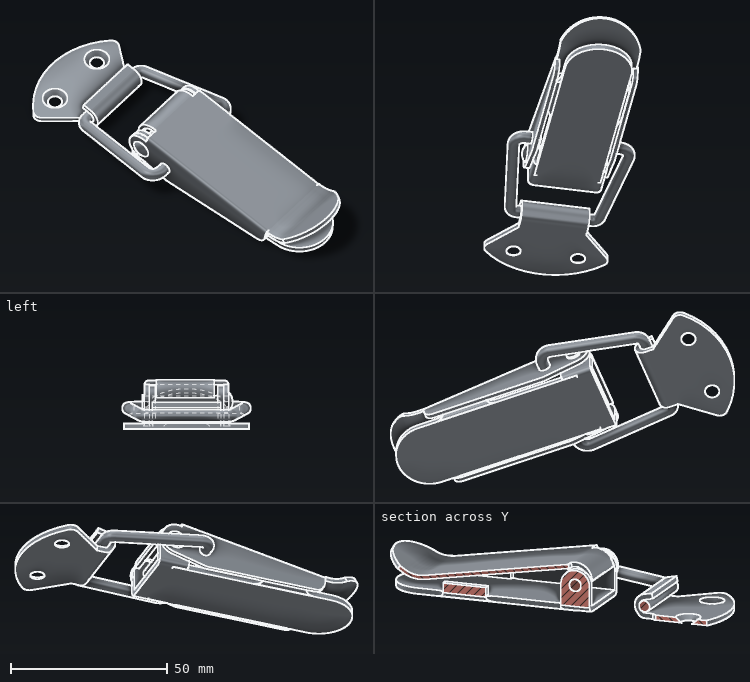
import cadquery as cq
import math


BASE_SHEET = 2.0
STRIKER_SHEET = 1.8
LEVER_SHEET = 1.5
PIN_Z = 8.8
PIN_DIAMETER = 3.8
WIRE_DIAMETER = 3.8
OVERALL_LENGTH = 115.02
OVERALL_HEIGHT = 15.8
STRIKER_LEFT = -48.1

BASE_WIDTH = 24.0
WALL_HALF_LENGTH = 5.0
STRIP_WIDTH = 21.5
STRIP_END_CENTER_X = 54.7
ROOT_START_X = 28.0
ROOT_END_X = 48.1
ROOT_RADIUS = 3.5
FLANGE_HEIGHT = 5.0

LEVER_WIDTH = BASE_WIDTH + 2 * LEVER_SHEET
LEVER_TILT = math.radians(10)
LEVER_END_X = 51.9
LEVER_BOTTOM_Z = 1.05
CHEEK_RADIUS = 5.2
CHEEK_CENTER_X = 0.3
CHEEK_RISE = math.radians(15)
CHEEK_CORNER_RADIUS = 3.0
CURL_RADIUS = 5.75
CURL_CENTER_X = 0.8
CURL_Y_MIN = -8.85
CURL_Y_MAX = 9.65
NOTCH_OFFSET = 0.5
TAB_ANGLE = math.radians(32)
TAB_BEND_RADIUS = 9.2
TAB_WIDTH = 26.0

HEAD_DIAMETER = 6.0
HEAD_HEIGHT = 1.3
PEEN_DIAMETER = 4.5
PEEN_HEIGHT = 0.6

STRIKER_EDGE_RADIUS = 27.0
STRIKER_CORNER_X = -38.2
NECK_X = -26.35
NECK_WIDTH = 22.0
STRIKER_TIP_RADIUS = 2.6
SCREW_X = -38.3
SCREW_SPACING = 21.0
SCREW_DIAMETER = 4.5
SINK_DIAMETER = 8.0
SINK_ANGLE = 90
HOOK_X = -23.88
HOOK_Z = 4.18
HOOK_BORE = 4.1
HOOK_RAMP = math.radians(55)
HOOK_RAMP_BEND_RADIUS = 2.6
HOOK_LIP_RISE = math.radians(12)
HOOK_LIP_LENGTH = 2.9

BAIL_BAR_X = -23.75
BAIL_BAR_Z = 4.25
BAIL_END_X = 9.95
BAIL_END_Z = 6.95
BAIL_BAR_HALF = 12.3
BAIL_BAR_BEND = 2.25
BAIL_END_BEND = 3.35
BAIL_END_SEAM_Y = 15.4


def polar(center, radius, angle):
    """Point at a radius and angle (radians, from +X) around a center."""
    return (center[0] + radius * math.cos(angle), center[1] + radius * math.sin(angle))


def moved(point, direction, distance):
    """Point shifted along a unit direction."""
    return (point[0] + direction[0] * distance, point[1] + direction[1] * distance)


def across(outline, y_min, y_max):
    """Extrude a closed XZ outline from y_min to y_max."""
    return outline.extrude(-(y_max - y_min)).translate((0, y_min, 0))


def profile(start):
    return cq.Workplane("XZ").moveTo(*start)


def rod(diameter, x, z, y_min, y_max):
    return across(profile((x, z)).circle(diameter / 2), y_min, y_max)


def folded_channel(x_min, x_max, height):
    """U-shaped length of sheet with its lower outside corners rounded."""
    length = x_max - x_min
    block = cq.Workplane("XY").box(length, BASE_WIDTH, height, centered=False)
    channel = block.translate((x_min, -BASE_WIDTH / 2, 0)).edges("|X and <Z").fillet(BASE_SHEET)
    inside_width = BASE_WIDTH - 2 * BASE_SHEET
    inside = (
        cq.Workplane("XY")
        .box(length, inside_width, height, centered=False)
        .translate((x_min, -inside_width / 2, BASE_SHEET))
    )
    return channel.cut(inside)


def make_flanges():
    """Second pair of upturned sides, blended into the strip by concave corners."""
    floor = cq.Workplane("XY").rect(2 * OVERALL_LENGTH, BASE_WIDTH).extrude(BASE_SHEET)
    roots = folded_channel(ROOT_START_X, ROOT_END_X, FLANGE_HEIGHT).intersect(floor)
    root_y = STRIP_WIDTH / 2 + ROOT_RADIUS
    corners = [(x, y) for x in (ROOT_START_X, ROOT_END_X) for y in (-root_y, root_y)]
    scoops = cq.Workplane("XY").pushPoints(corners).circle(ROOT_RADIUS).extrude(BASE_SHEET)
    root_length = math.sqrt(ROOT_RADIUS**2 - (root_y - BASE_WIDTH / 2) ** 2)
    flanges = folded_channel(ROOT_START_X + root_length, ROOT_END_X - root_length, FLANGE_HEIGHT)
    return flanges.union(roots.cut(scoops))


def make_base():
    wall_top = PIN_Z + WALL_HALF_LENGTH
    walls = folded_channel(-WALL_HALF_LENGTH, WALL_HALF_LENGTH, wall_top)
    wall_shape = across(
        profile((-WALL_HALF_LENGTH, 0))
        .lineTo(-WALL_HALF_LENGTH, PIN_Z)
        .threePointArc((0, wall_top), (WALL_HALF_LENGTH, PIN_Z))
        .lineTo(WALL_HALF_LENGTH, 0)
        .close(),
        -BASE_WIDTH / 2,
        BASE_WIDTH / 2,
    )
    walls = walls.intersect(wall_shape)

    half = STRIP_WIDTH / 2
    strip = (
        cq.Workplane("XY")
        .moveTo(0, -half)
        .lineTo(STRIP_END_CENTER_X, -half)
        .threePointArc((STRIP_END_CENTER_X + half, 0), (STRIP_END_CENTER_X, half))
        .lineTo(0, half)
        .close()
        .extrude(BASE_SHEET)
    )
    pin_hole = rod(PIN_DIAMETER, 0, PIN_Z, -BASE_WIDTH, BASE_WIDTH)
    return walls.union(strip).union(make_flanges()).cut(pin_hole)


along = (math.cos(LEVER_TILT), -math.sin(LEVER_TILT))
normal = (math.sin(LEVER_TILT), math.cos(LEVER_TILT))
curl_center = (CURL_CENTER_X, OVERALL_HEIGHT - CURL_RADIUS)
curl_start = moved(curl_center, normal, CURL_RADIUS)
top_length = (LEVER_END_X - curl_start[0]) / along[0]
top_end = moved(curl_start, along, top_length)
under_end = moved(top_end, normal, -LEVER_SHEET)


def make_cover():
    """Sloping top and both cheeks, open below and at both ends."""
    drop = CURL_RADIUS - LEVER_SHEET - CHEEK_RADIUS
    cheek_z = curl_center[1] + (drop - (CHEEK_CENTER_X - CURL_CENTER_X) * normal[0]) / normal[1]
    cheek_center = (CHEEK_CENTER_X, cheek_z)
    low_tangent = polar(cheek_center, CHEEK_RADIUS, -math.pi / 2 - CHEEK_RISE)
    high_tangent = moved(cheek_center, normal, CHEEK_RADIUS)
    ramp_end_x = low_tangent[0] + (low_tangent[1] - LEVER_BOTTOM_Z) / math.tan(CHEEK_RISE)
    corner = moved(under_end, normal, -(under_end[1] - LEVER_BOTTOM_Z) / normal[1])
    half = LEVER_WIDTH / 2

    cheeks = across(
        profile(low_tangent)
        .threePointArc(polar(cheek_center, CHEEK_RADIUS, math.pi), high_tangent)
        .lineTo(*under_end)
        .lineTo(*corner)
        .lineTo(ramp_end_x, LEVER_BOTTOM_Z)
        .close(),
        -half,
        half,
    )
    corner_edge = cq.selectors.NearestToPointSelector((corner[0], 0, corner[1]))
    cheeks = cheeks.edges("|Y").edges(corner_edge).fillet(CHEEK_CORNER_RADIUS)

    notch_top = moved(curl_start, along, NOTCH_OFFSET)
    notch_under = moved(notch_top, normal, -LEVER_SHEET)
    top_outline = profile(notch_top).lineTo(*top_end).lineTo(*under_end).lineTo(*notch_under).close()
    top = across(top_outline, -half, half)
    top_middle = moved(notch_top, along, (top_length - NOTCH_OFFSET) / 2)
    cover = cheeks.union(top)
    for side in (-1, 1):
        rim = cq.selectors.NearestToPointSelector((top_middle[0], side * half, top_middle[1]))
        cover = cover.edges(rim).fillet(LEVER_SHEET)

    reach = OVERALL_LENGTH
    inside = across(
        profile(moved(under_end, along, -reach))
        .lineTo(*moved(under_end, along, reach))
        .lineTo(reach, -reach)
        .lineTo(-reach, -reach)
        .close(),
        -BASE_WIDTH / 2,
        BASE_WIDTH / 2,
    )
    return cover.cut(inside)


def make_curl():
    """Front edge of the top, rolled down a quarter turn and a bit between the base walls."""
    inner = CURL_RADIUS - LEVER_SHEET
    middle_angle = math.radians(135)
    strip_end = moved(curl_start, along, NOTCH_OFFSET)
    outline = (
        profile(polar(curl_center, CURL_RADIUS, math.pi))
        .threePointArc(polar(curl_center, CURL_RADIUS, middle_angle), curl_start)
        .lineTo(*strip_end)
        .lineTo(*moved(strip_end, normal, -LEVER_SHEET))
        .lineTo(*moved(curl_center, normal, inner))
        .threePointArc(polar(curl_center, inner, middle_angle), polar(curl_center, inner, math.pi))
        .close()
    )
    return across(outline, CURL_Y_MIN, CURL_Y_MAX)


def make_tab():
    """Thumb tab that bends upward and ends in a round tip."""
    bend_center = moved(top_end, normal, TAB_BEND_RADIUS)
    lower_radius = TAB_BEND_RADIUS + LEVER_SHEET
    start_angle = -math.pi / 2 - LEVER_TILT
    end_angle = -math.pi / 2 + TAB_ANGLE
    middle_angle = (start_angle + end_angle) / 2
    tab_along = (math.cos(TAB_ANGLE), math.sin(TAB_ANGLE))
    flat_start = polar(bend_center, TAB_BEND_RADIUS, end_angle)
    flat_start_under = polar(bend_center, lower_radius, end_angle)
    tip_x = STRIKER_LEFT + OVERALL_LENGTH
    flat_length = (tip_x - flat_start_under[0]) / tab_along[0]
    half = TAB_WIDTH / 2
    tab = across(
        profile(top_end)
        .threePointArc(polar(bend_center, TAB_BEND_RADIUS, middle_angle), flat_start)
        .lineTo(*moved(flat_start, tab_along, flat_length))
        .lineTo(*moved(flat_start_under, tab_along, flat_length))
        .lineTo(*flat_start_under)
        .threePointArc(polar(bend_center, lower_radius, middle_angle), under_end)
        .close(),
        -half,
        half,
    )
    tip_plane = cq.Plane(
        origin=(flat_start[0], 0, flat_start[1]),
        xDir=(tab_along[0], 0, tab_along[1]),
        normal=(-tab_along[1], 0, tab_along[0]),
    )
    rounded = (
        cq.Workplane(tip_plane)
        .moveTo(-TAB_WIDTH, -half)
        .lineTo(0, -half)
        .threePointArc((flat_length, 0), (0, half))
        .lineTo(-TAB_WIDTH, half)
        .close()
        .extrude(TAB_WIDTH, both=True)
    )
    return tab.intersect(rounded)


def make_lever():
    lever = make_cover().union(make_curl()).union(make_tab())
    pin_hole = rod(PIN_DIAMETER, 0, PIN_Z, -LEVER_WIDTH, LEVER_WIDTH)
    bail_hole = rod(WIRE_DIAMETER, BAIL_END_X, BAIL_END_Z, -LEVER_WIDTH, LEVER_WIDTH)
    return lever.cut(pin_hole).cut(bail_hole)


def make_pin():
    half = LEVER_WIDTH / 2
    shank = rod(PIN_DIAMETER, 0, PIN_Z, -half, half)
    peen = rod(PEEN_DIAMETER, 0, PIN_Z, half, half + PEEN_HEIGHT)
    head_radius = HEAD_DIAMETER / 2
    dome_radius = (head_radius**2 + HEAD_HEIGHT**2) / (2 * HEAD_HEIGHT)
    dome = cq.Workplane("XY").sphere(dome_radius).translate((0, dome_radius - half - HEAD_HEIGHT, PIN_Z))
    head = dome.intersect(rod(2 * dome_radius, 0, PIN_Z, -half - HEAD_HEIGHT, -half))
    return shank.union(peen).union(head)


def make_striker_plate():
    corner_reach = STRIKER_LEFT + STRIKER_EDGE_RADIUS - STRIKER_CORNER_X
    corner_y = math.sqrt(STRIKER_EDGE_RADIUS**2 - corner_reach**2)
    neck = NECK_WIDTH / 2
    plate = (
        cq.Workplane("XY")
        .moveTo(STRIKER_CORNER_X, corner_y)
        .threePointArc((STRIKER_LEFT, 0), (STRIKER_CORNER_X, -corner_y))
        .lineTo(NECK_X, -neck)
        .lineTo(NECK_X, neck)
        .close()
        .extrude(STRIKER_SHEET)
    )
    for side in (-1, 1):
        tip = cq.selectors.NearestToPointSelector((STRIKER_CORNER_X, side * corner_y, STRIKER_SHEET / 2))
        plate = plate.edges(tip).fillet(STRIKER_TIP_RADIUS)
    return (
        plate.faces(">Z")
        .workplane(origin=(SCREW_X, 0, STRIKER_SHEET))
        .rarray(1, SCREW_SPACING, 1, 2)
        .cskHole(SCREW_DIAMETER, SINK_DIAMETER, SINK_ANGLE)
    )


def make_hook():
    center = (HOOK_X, HOOK_Z)
    inner = HOOK_BORE / 2
    outer = inner + STRIKER_SHEET
    bend = HOOK_RAMP_BEND_RADIUS
    bend_inner = bend - STRIKER_SHEET
    ramp_angle = HOOK_RAMP - math.pi / 2
    bend_x = HOOK_X - ((bend - outer) - (HOOK_Z - bend) * math.sin(ramp_angle)) / math.cos(ramp_angle)
    bend_center = (bend_x, bend)
    bend_middle = -math.pi / 2 + HOOK_RAMP / 2
    lip_angle = math.pi / 2 - HOOK_LIP_RISE
    roll_middle = (ramp_angle + lip_angle) / 2
    lip_along = (-math.cos(HOOK_LIP_RISE), math.sin(HOOK_LIP_RISE))
    outline = (
        profile((NECK_X, 0))
        .lineTo(bend_x, 0)
        .threePointArc(polar(bend_center, bend, bend_middle), polar(bend_center, bend, ramp_angle))
        .lineTo(*polar(center, outer, ramp_angle))
        .threePointArc(polar(center, outer, roll_middle), polar(center, outer, lip_angle))
        .lineTo(*moved(polar(center, outer, lip_angle), lip_along, HOOK_LIP_LENGTH))
        .lineTo(*moved(polar(center, inner, lip_angle), lip_along, HOOK_LIP_LENGTH))
        .lineTo(*polar(center, inner, lip_angle))
        .threePointArc(polar(center, inner, roll_middle), polar(center, inner, ramp_angle))
        .lineTo(*polar(bend_center, bend_inner, ramp_angle))
        .threePointArc(polar(bend_center, bend_inner, bend_middle), (bend_x, STRIKER_SHEET))
        .lineTo(NECK_X, STRIKER_SHEET)
        .close()
    )
    return across(outline, -NECK_WIDTH / 2, NECK_WIDTH / 2)


def make_striker():
    return make_striker_plate().union(make_hook())


def make_bail():
    run = math.hypot(BAIL_END_X - BAIL_BAR_X, BAIL_END_Z - BAIL_BAR_Z)
    wire_plane = cq.Plane(
        origin=(BAIL_BAR_X, 0, BAIL_BAR_Z),
        xDir=(BAIL_END_X - BAIL_BAR_X, 0, BAIL_END_Z - BAIL_BAR_Z),
        normal=(BAIL_BAR_Z - BAIL_END_Z, 0, BAIL_END_X - BAIL_BAR_X),
    )
    first = (BAIL_BAR_BEND, BAIL_BAR_HALF)
    last = (run - BAIL_END_BEND, BAIL_END_SEAM_Y)
    reach_x = last[0] - first[0]
    reach_y = last[1] - first[1]
    bend_spread = (BAIL_BAR_BEND - BAIL_END_BEND) / math.hypot(reach_x, reach_y)
    arm_angle = math.atan2(reach_y, reach_x) + math.acos(bend_spread)
    first_middle = (math.pi + arm_angle) / 2
    last_middle = arm_angle / 2
    leg_end = BASE_WIDTH / 2
    first_points = [polar(first, BAIL_BAR_BEND, a) for a in (first_middle, arm_angle)]
    last_points = [polar(last, BAIL_END_BEND, a) for a in (arm_angle, last_middle, 0)]

    def mirrored(point):
        return (point[0], -point[1])

    path = (
        cq.Workplane(wire_plane)
        .moveTo(run, leg_end)
        .lineTo(*last_points[2])
        .threePointArc(last_points[1], last_points[0])
        .lineTo(*first_points[1])
        .threePointArc(first_points[0], (0, BAIL_BAR_HALF))
        .lineTo(0, -BAIL_BAR_HALF)
        .threePointArc(mirrored(first_points[0]), mirrored(first_points[1]))
        .lineTo(*mirrored(last_points[0]))
        .threePointArc(mirrored(last_points[1]), mirrored(last_points[2]))
        .lineTo(run, -leg_end)
    )
    section = cq.Workplane("XZ", origin=(BAIL_END_X, leg_end, BAIL_END_Z)).circle(WIRE_DIAMETER / 2)
    return section.sweep(path)


base = make_base()
lever = make_lever()
pin = make_pin()
striker = make_striker()
bail = make_bail()

result = cq.Compound.makeCompound([base.val(), lever.val(), pin.val(), striker.val(), bail.val()])